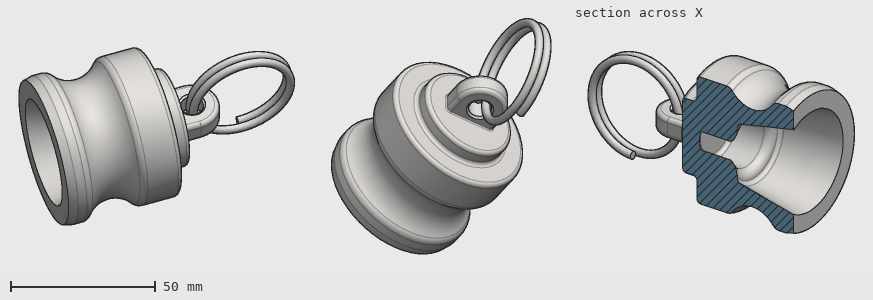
import cadquery as cq
import math

overall_length = 92.0

flange_radius = 26.7
mouth_taper_length = 3.2
mouth_taper_angle = 15.0
waist_position = 17.6
waist_radius = 21.4
waist_arc_radius = 11.2
shoulder_round = 3.2
flange_end = 41.5
flange_round = 1.6
boss_radius = 35.0 / 2
boss_end = 47.6
boss_round = 1.5

mouth_radius = 19.1
cone_end_radius = 30.3 / 2
cone_depth = 22.5
cavity_round = 1.5
bore_radius = 20.7 / 2
bore_depth = 40.5
bore_entry_round = cone_end_radius - cavity_round - bore_radius

lug_width = 18.9
lug_thickness = 8.0
lug_round = 1.7
lug_root_fillet = 0.5
eye_position = 54.3
eye_diameter = 7.9
eye_round = 0.7

wire_diameter = 2.9
coil_radius = 18.0
coil_pitch = 3.1
coil_turns = 1.75
coil_start_x = -4.6


def point_on_circle(center, radius, angle):
    """Point on a circle at an angle in degrees from +X of the profile."""
    return (
        center[0] + radius * math.cos(math.radians(angle)),
        center[1] + radius * math.sin(math.radians(angle)),
    )


def make_outside():
    """Revolved plug outside: tapered rim, waist, flange and boss."""
    waist_center_radius = waist_radius + waist_arc_radius
    shoulder_center_radius = flange_radius - shoulder_round
    center_distance = waist_arc_radius + shoulder_round
    radial_offset = waist_center_radius - shoulder_center_radius
    axial_offset = math.sqrt(center_distance**2 - radial_offset**2)
    tangent_angle = math.degrees(math.atan2(axial_offset, radial_offset))

    front_center = (shoulder_center_radius, waist_position - axial_offset)
    back_center = (shoulder_center_radius, waist_position + axial_offset)
    rim_radius = flange_radius - mouth_taper_length * math.tan(math.radians(mouth_taper_angle))

    return (
        cq.Workplane("XY")
        .moveTo(0, 0)
        .lineTo(rim_radius, 0)
        .lineTo(flange_radius, mouth_taper_length)
        .lineTo(flange_radius, front_center[1])
        .threePointArc(
            point_on_circle(front_center, shoulder_round, tangent_angle / 2),
            point_on_circle(front_center, shoulder_round, tangent_angle),
        )
        .threePointArc(
            (waist_radius, waist_position),
            point_on_circle(back_center, shoulder_round, -tangent_angle),
        )
        .threePointArc(
            point_on_circle(back_center, shoulder_round, -tangent_angle / 2),
            (flange_radius, back_center[1]),
        )
        .lineTo(flange_radius, flange_end - flange_round)
        .radiusArc((flange_radius - flange_round, flange_end), -flange_round)
        .lineTo(boss_radius + boss_round, flange_end)
        .radiusArc((boss_radius, flange_end + boss_round), boss_round)
        .lineTo(boss_radius, boss_end - boss_round)
        .radiusArc((boss_radius - boss_round, boss_end), -boss_round)
        .lineTo(0, boss_end)
        .close()
        .revolve(360, (0, 0), (0, 1))
    )


def make_cavity():
    """Revolved cavity: conical mouth, rounded step and blind bore."""
    step_depth = cone_depth + cavity_round
    return (
        cq.Workplane("XY")
        .moveTo(0, 0)
        .lineTo(mouth_radius, 0)
        .lineTo(cone_end_radius, cone_depth)
        .radiusArc((cone_end_radius - cavity_round, step_depth), -cavity_round)
        .radiusArc((bore_radius, step_depth + bore_entry_round), bore_entry_round)
        .lineTo(bore_radius, bore_depth - cavity_round)
        .radiusArc((bore_radius - cavity_round, bore_depth), -cavity_round)
        .lineTo(0, bore_depth)
        .close()
        .revolve(360, (0, 0), (0, 1))
    )


def make_lug():
    """Round-ended lug standing on the boss, with rounded edges."""
    half_width = lug_width / 2
    return (
        cq.Workplane("XY")
        .moveTo(-half_width, boss_end)
        .lineTo(half_width, boss_end)
        .lineTo(half_width, eye_position)
        .threePointArc((0, eye_position + half_width), (-half_width, eye_position))
        .close()
        .extrude(lug_thickness / 2, both=True)
        .faces("<Z or >Z")
        .edges("not(<Y)")
        .fillet(lug_round)
    )


def make_eye():
    """Hole through the lug that widens into a round at both faces."""
    half_thickness = lug_thickness / 2
    eye_radius = eye_diameter / 2
    return (
        cq.Workplane("XZ")
        .moveTo(0, -half_thickness)
        .lineTo(eye_radius + eye_round, -half_thickness)
        .radiusArc((eye_radius, -half_thickness + eye_round), -eye_round)
        .lineTo(eye_radius, half_thickness - eye_round)
        .radiusArc((eye_radius + eye_round, half_thickness), -eye_round)
        .lineTo(0, half_thickness)
        .close()
        .revolve(360, (0, 0), (0, 1))
        .translate((0, eye_position, 0))
    )


def make_plug():
    """Plug with its cavity, lug and eye as one solid."""
    outside = make_outside().union(make_lug())
    box_margin = 0.01
    root_box = cq.selectors.BoxSelector(
        (-lug_width, boss_end - box_margin, -lug_thickness),
        (lug_width, boss_end + box_margin, lug_thickness),
        boundingbox=True,
    )
    return outside.edges(root_box).fillet(lug_root_fillet).cut(make_cavity()).cut(make_eye())


def make_split_ring():
    """Round wire coiled about an axis along X, its -X end at the lowest point."""
    center_y = overall_length - coil_radius - wire_diameter / 2
    coil_plane = cq.Plane(origin=(coil_start_x, center_y, 0), xDir=(0, 0, -1), normal=(1, 0, 0))
    helix = cq.Wire.makeHelix(coil_pitch, coil_pitch * coil_turns, coil_radius)
    tangent = (0, 2 * math.pi * coil_radius, coil_pitch)
    wire_section = cq.Plane(origin=(coil_radius, 0, 0), xDir=(1, 0, 0), normal=tangent)
    coil = cq.Workplane(wire_section).circle(wire_diameter / 2).sweep(cq.Workplane(helix), isFrenet=True)
    return coil.val().moved(coil_plane.location)


split_ring = make_split_ring()
plug = make_plug()
result = cq.Compound.makeCompound([plug.solids().val(), split_ring])